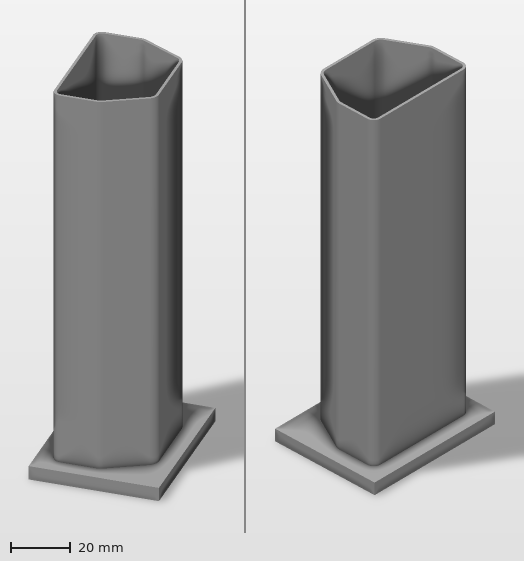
import cadquery as cq

total_height = 145.0
plate_width = 46.0
plate_depth = 58.0
plate_thickness = 5.1

margin = 6.0
wall = 1.0
back_corner_radius = 3.0
bend_radius = 4.0
taper_inset = 9.0
tube_width = plate_width - 2 * margin
tube_depth = plate_depth - 2 * margin
tube_height = total_height - plate_thickness


def make_base_plate():
    """Flat rectangular plate standing on Z = 0."""
    return cq.Workplane("XY").box(
        plate_width, plate_depth, plate_thickness, centered=(True, True, False)
    )


def tube_prism(inset):
    """Rounded hexagonal prism, with every side moved inward by the inset."""
    half_width = tube_width / 2
    half_depth = tube_depth / 2
    front_half_depth = half_depth - taper_inset
    outline = (
        cq.Workplane("XY", origin=(0, 0, plate_thickness))
        .moveTo(-half_width, -half_depth)
        .lineTo(0, -half_depth)
        .lineTo(half_width, -front_half_depth)
        .lineTo(half_width, front_half_depth)
        .lineTo(0, half_depth)
        .lineTo(-half_width, half_depth)
        .close()
    )
    if inset > 0:
        outline = outline.offset2D(-inset, "intersection")
    prism = outline.extrude(tube_height)
    prism = prism.edges("|Z and <X").fillet(back_corner_radius - inset)
    taper_edges = cq.selectors.BoxSelector(
        (-wall, -plate_depth, 0), (plate_width, plate_depth, total_height)
    )
    return prism.edges(taper_edges).edges("|Z").fillet(bend_radius - inset)


def make_tube():
    """Open tube with a constant wall, resting on the plate."""
    return tube_prism(0).cut(tube_prism(wall))


base_plate = make_base_plate()
tube = make_tube()

result = cq.Compound.makeCompound([base_plate.val(), tube.val()])